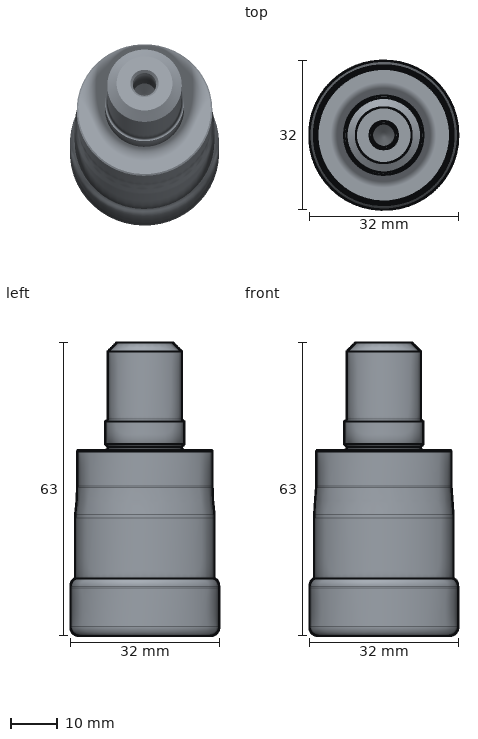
import cadquery as cq
import math

TOTAL_HEIGHT = 63.0

CUP_RADIUS = 16.0
CUP_ROUND = 2.0
CUP_WALL_TOP = 10.3
CUP_LAND_TOP = 10.65
CUP_LAND_TAPER = 0.03
CUP_FLOOR = 4.05

BARREL_RADIUS = 15.0
BARREL_TOP = 25.3
LOWER_BLEND = 0.75
SHOULDER_RADIUS = 14.55
SHOULDER_BOTTOM = 32.2
UPPER_BLEND = 0.4
DECK_HEIGHT = 39.95
DECK_CHAMFER = 0.3

NECK_RADIUS = 7.95
NECK_FILLET = 0.4
FLANGE_RADIUS = 8.5
FLANGE_BOTTOM = 41.15
FLANGE_TOP = 46.05
STUD_RADIUS = 8.0
STUD_CHAMFER = 2.0
STUD_FILLET = FLANGE_RADIUS - STUD_RADIUS

HOLE_RADIUS = 2.5
MOUTH_RADIUS = 3.0
HOLE_DEPTH = 10.1
MOUTH_HALF_ANGLE = math.radians(30)
TIP_HALF_ANGLE = math.radians(59)

ARC_MIDDLE = math.sqrt(0.5)


def turn(profile):
    """Revolve a closed (radius, height) profile about the Z axis."""
    return profile.close().revolve(360, (0, 0, 0), (0, 1, 0))


def concave_fillet(profile, start_radius, end_radius, start_height, end_height):
    """Add a quarter arc between a stud wall and the flat face below it; either end may be the wall."""
    radius = abs(end_radius - start_radius)
    center_radius = max(start_radius, end_radius)
    center_height = max(start_height, end_height)
    middle = (center_radius - radius * ARC_MIDDLE, center_height - radius * ARC_MIDDLE)
    return profile.threePointArc(middle, (end_radius, end_height))


def make_cup():
    rim_radius = CUP_RADIUS - CUP_LAND_TAPER
    rim_center = rim_radius - CUP_ROUND
    rim_angle = math.acos((BARREL_RADIUS - rim_center) / CUP_ROUND)

    def rim_point(angle):
        return (rim_center + CUP_ROUND * math.cos(angle), CUP_LAND_TOP + CUP_ROUND * math.sin(angle))

    bottom_middle = (
        CUP_RADIUS - CUP_ROUND * (1 - ARC_MIDDLE),
        CUP_ROUND * (1 - ARC_MIDDLE),
    )
    profile = (
        cq.Workplane("XZ")
        .lineTo(CUP_RADIUS - CUP_ROUND, 0)
        .threePointArc(bottom_middle, (CUP_RADIUS, CUP_ROUND))
        .lineTo(CUP_RADIUS, CUP_WALL_TOP)
        .lineTo(rim_radius, CUP_LAND_TOP)
        .threePointArc(rim_point(rim_angle / 2), rim_point(rim_angle))
        .lineTo(BARREL_RADIUS, CUP_FLOOR)
        .lineTo(0, CUP_FLOOR)
    )
    return turn(profile)


def make_body_blank():
    mean_taper_height = SHOULDER_BOTTOM - BARREL_TOP - (LOWER_BLEND + UPPER_BLEND) / 2
    half_turn = math.atan((BARREL_RADIUS - SHOULDER_RADIUS) / mean_taper_height) / 2
    taper_bottom = (BARREL_RADIUS - LOWER_BLEND * math.tan(half_turn), BARREL_TOP + LOWER_BLEND)
    taper_top = (SHOULDER_RADIUS + UPPER_BLEND * math.tan(half_turn), SHOULDER_BOTTOM - UPPER_BLEND)
    profile = (
        cq.Workplane("XZ")
        .moveTo(0, CUP_FLOOR)
        .lineTo(BARREL_RADIUS, CUP_FLOOR)
        .lineTo(BARREL_RADIUS, BARREL_TOP)
        .tangentArcPoint(taper_bottom, relative=False)
        .lineTo(*taper_top)
        .tangentArcPoint((SHOULDER_RADIUS, SHOULDER_BOTTOM), relative=False)
        .lineTo(SHOULDER_RADIUS, DECK_HEIGHT - DECK_CHAMFER)
        .lineTo(SHOULDER_RADIUS - DECK_CHAMFER, DECK_HEIGHT)
        .lineTo(NECK_RADIUS + NECK_FILLET, DECK_HEIGHT)
    )
    profile = concave_fillet(
        profile, NECK_RADIUS + NECK_FILLET, NECK_RADIUS, DECK_HEIGHT, DECK_HEIGHT + NECK_FILLET
    )
    profile = (
        profile
        .lineTo(NECK_RADIUS, FLANGE_BOTTOM - (FLANGE_RADIUS - NECK_RADIUS))
        .lineTo(FLANGE_RADIUS, FLANGE_BOTTOM)
        .lineTo(FLANGE_RADIUS, FLANGE_TOP)
    )
    profile = concave_fillet(
        profile, FLANGE_RADIUS, STUD_RADIUS, FLANGE_TOP, FLANGE_TOP + STUD_FILLET
    )
    profile = (
        profile
        .lineTo(STUD_RADIUS, TOTAL_HEIGHT - STUD_CHAMFER)
        .lineTo(STUD_RADIUS - STUD_CHAMFER, TOTAL_HEIGHT)
        .lineTo(0, TOTAL_HEIGHT)
    )
    return turn(profile)


def make_centre_hole():
    mouth_depth = (MOUTH_RADIUS - HOLE_RADIUS) / math.tan(MOUTH_HALF_ANGLE)
    hole_bottom = TOTAL_HEIGHT - HOLE_DEPTH
    tip_depth = HOLE_RADIUS / math.tan(TIP_HALF_ANGLE)
    profile = (
        cq.Workplane("XZ")
        .moveTo(0, TOTAL_HEIGHT)
        .lineTo(MOUTH_RADIUS, TOTAL_HEIGHT)
        .lineTo(HOLE_RADIUS, TOTAL_HEIGHT - mouth_depth)
        .lineTo(HOLE_RADIUS, hole_bottom)
        .lineTo(0, hole_bottom - tip_depth)
    )
    return turn(profile)


cup = make_cup()
body = make_body_blank().cut(make_centre_hole())

result = cq.Compound.makeCompound([cup.val(), body.val()])